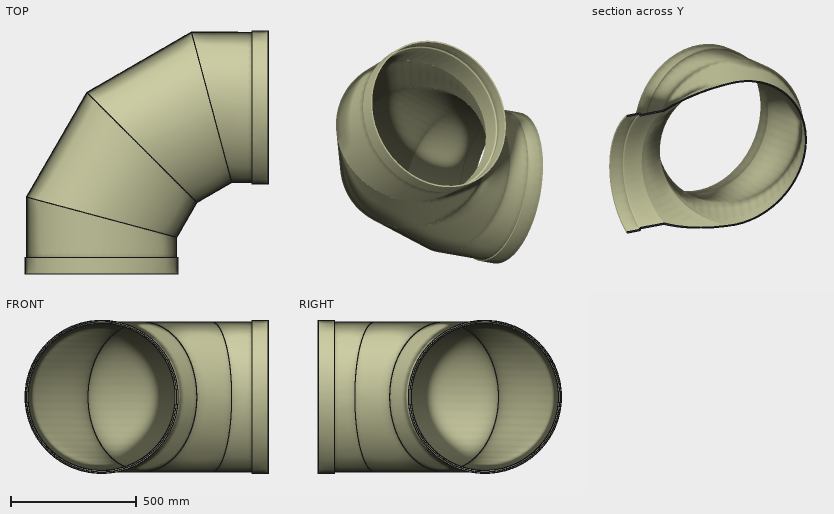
import cadquery as cq
import math

bore_diameter = 588.0
wall = 6.0
bend_radius = 600.0
bend_angle = 90.0
middle_gore_count = 2
socket_length = 66.0

bore_radius = bore_diameter / 2
duct_radius = bore_radius + wall
socket_radius = duct_radius + wall
shoulder_rounding = wall

end_gore_angle = bend_angle / (2 * (middle_gore_count + 1))
middle_gore_angle = 2 * end_gore_angle

mitre_slope = math.tan(math.radians(end_gore_angle))
outer_x = -bend_radius - duct_radius
inner_x = -bend_radius + duct_radius
outer_mitre_y = -outer_x * mitre_slope
inner_mitre_y = -inner_x * mitre_slope


def mitred_block(bottom_edge):
    """Block that encloses a gore: given bottom edge, top sloped along the mitre plane."""
    block_outline = bottom_edge + [(inner_x, inner_mitre_y), (outer_x, outer_mitre_y)]
    return (
        cq.Workplane("XY")
        .polyline(block_outline)
        .close()
        .extrude(duct_radius, both=True)
    )


def middle_gore():
    """Straight tube cut by a mitre plane at each end, centred on the -X axis."""
    tube = (
        cq.Workplane("XZ", origin=(-bend_radius, outer_mitre_y, 0))
        .circle(duct_radius)
        .circle(bore_radius)
        .extrude(2 * outer_mitre_y)
    )
    return tube.intersect(mitred_block([(outer_x, -outer_mitre_y), (inner_x, -inner_mitre_y)]))


def end_gore():
    """Mitred tube with a wider socket on its open end, which faces -Y."""
    tube = (
        cq.Workplane("XZ", origin=(-bend_radius, outer_mitre_y, 0))
        .circle(duct_radius)
        .circle(bore_radius)
        .extrude(outer_mitre_y)
        .intersect(mitred_block([(outer_x, 0), (inner_x, 0)]))
    )
    arc_offset = shoulder_rounding * math.sin(math.radians(45))
    shoulder_middle = (duct_radius - arc_offset, -arc_offset)
    shoulder_top = (bore_radius, 0)
    socket_section = [
        shoulder_top,
        (socket_radius, 0),
        (socket_radius, -socket_length),
        (duct_radius, -socket_length),
        (duct_radius, -shoulder_rounding),
    ]
    socket = (
        cq.Workplane("XY", origin=(-bend_radius, 0, 0))
        .polyline(socket_section)
        .threePointArc(shoulder_middle, shoulder_top)
        .close()
        .revolve(360, (0, 0, 0), (0, 1, 0))
    )
    return tube.union(socket)


middle_gores = []
for index in range(middle_gore_count):
    turn = (index + 0.5) * middle_gore_angle + end_gore_angle
    middle_gores.append(middle_gore().rotate((0, 0, 0), (0, 0, 1), -turn))

end_gores = []
for half_turns in range(2):
    end_gores.append(end_gore().rotate((0, 0, 0), (-1, 1, 0), 180 * half_turns))

result = cq.Compound.makeCompound([gore.val() for gore in end_gores + middle_gores])